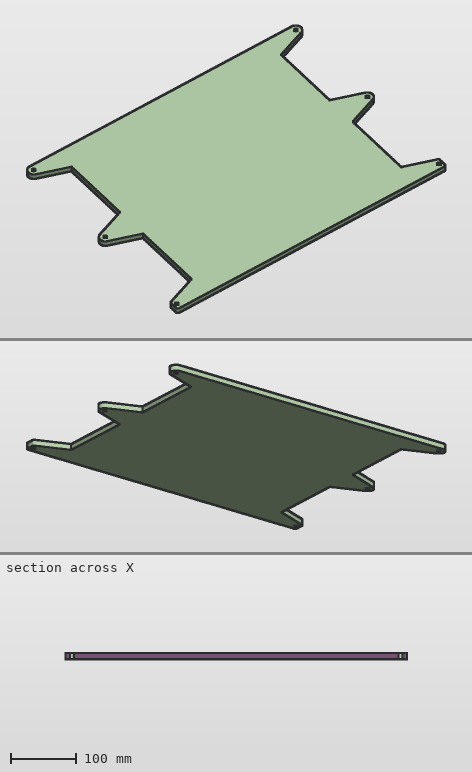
import cadquery as cq
import math

width = 381.0
length = 520.0
thickness = 10.0
hole_diameter = 5.5
lug_radius = 10.0
lug_reach = 50.0
lug_base_half_width = 29.0
flat_tip_height = 6.0
flat_tip_corner_radius = 3.0

hole_y = length / 2 - lug_radius
plate_edge_y = hole_y - lug_reach
side_hole_x = width / 2 - lug_radius

base_distance = math.hypot(lug_base_half_width, lug_reach)
flank_angle = math.acos(lug_radius / base_distance) - math.atan2(lug_reach, lug_base_half_width)
tangent_x = lug_radius * math.cos(flank_angle)
tangent_y = lug_radius * math.sin(flank_angle)


def extruded(sketch):
    return sketch.close().extrude(thickness)


def rounded_lug(hole_x, left_base, left_tip):
    """Lug with a round tip; its left flank runs from left_base to left_tip (relative to the hole)."""
    base_x, base_y = left_base
    tip_x, tip_y = left_tip
    return extruded(
        cq.Workplane("XY")
        .moveTo(hole_x + base_x, hole_y + base_y)
        .lineTo(hole_x + tip_x, hole_y + tip_y)
        .threePointArc((hole_x, hole_y + lug_radius), (hole_x + tangent_x, hole_y + tangent_y))
        .lineTo(hole_x + lug_base_half_width, plate_edge_y)
    )


def flat_lug(hole_x):
    """Lug with a flat tip and rounded corners, straight along the right side of the plate."""
    flank_slope = (lug_base_half_width - tangent_x) / (lug_reach + tangent_y)
    tip_left = hole_x - tangent_x + (flat_tip_height - tangent_y) * flank_slope
    tip_y = hole_y + flat_tip_height
    lug = extruded(
        cq.Workplane("XY")
        .moveTo(hole_x - lug_base_half_width, plate_edge_y)
        .lineTo(tip_left, tip_y)
        .lineTo(width / 2, tip_y)
        .lineTo(width / 2, plate_edge_y)
    )
    return lug.edges("|Z and >Y").fillet(flat_tip_corner_radius)


result = cq.Workplane("XY").box(width, 2 * plate_edge_y, thickness, centered=(True, True, False))

lugs = [
    rounded_lug(-side_hole_x, (-lug_radius, -lug_reach), (-lug_radius, 0)),
    rounded_lug(0, (-lug_base_half_width, -lug_reach), (-tangent_x, tangent_y)),
    flat_lug(side_hole_x),
]
for lug in lugs:
    result = result.union(lug).union(lug.mirror("XZ"))

hole_centers = [(x, y) for x in (-side_hole_x, 0, side_hole_x) for y in (-hole_y, hole_y)]
holes = cq.Workplane("XY").pushPoints(hole_centers).circle(hole_diameter / 2).extrude(thickness)
result = result.cut(holes)